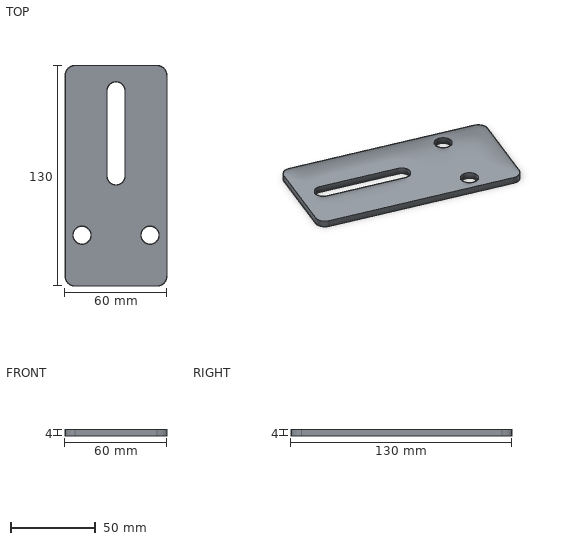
import cadquery as cq

plate_width = 60.0
plate_length = 130.0
plate_thickness = 4.0
corner_radius = 6.0

hole_diameter = 10.5
hole_spacing = 40.0
hole_offset_y = -35.0
slot_travel = 50.0
slot_offset_y = 25.0
slot_length = slot_travel + hole_diameter

plate = (
    cq.Workplane("XY")
    .box(plate_width, plate_length, plate_thickness)
    .edges("|Z")
    .fillet(corner_radius)
)

hole_centres = [(side * hole_spacing / 2, hole_offset_y) for side in (-1, 1)]
plate = plate.faces(">Z").workplane().pushPoints(hole_centres).hole(hole_diameter)

result = (
    plate.faces(">Z")
    .workplane(origin=(0, 0, 0))
    .center(0, slot_offset_y)
    .slot2D(slot_length, hole_diameter, angle=90)
    .cutThruAll()
)